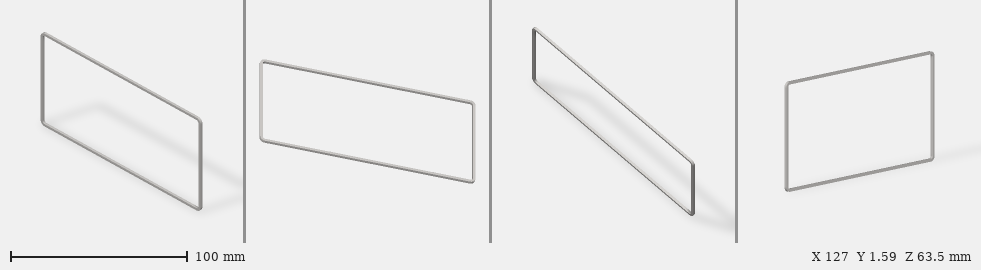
import cadquery as cq

length = 127.0
height = length / 2
bar = 1.5875
outer_radius = 2 * bar
inner_radius = outer_radius - bar


def rounded_block(size_x, size_z, corner_radius):
    """Block of bar depth centred on the origin, with its four Y-direction edges rounded."""
    return cq.Workplane("XY").box(size_x, bar, size_z).edges("|Y").fillet(corner_radius)


outer_block = rounded_block(length, height, outer_radius)
opening = rounded_block(length - 2 * bar, height - 2 * bar, inner_radius)

result = outer_block.cut(opening)